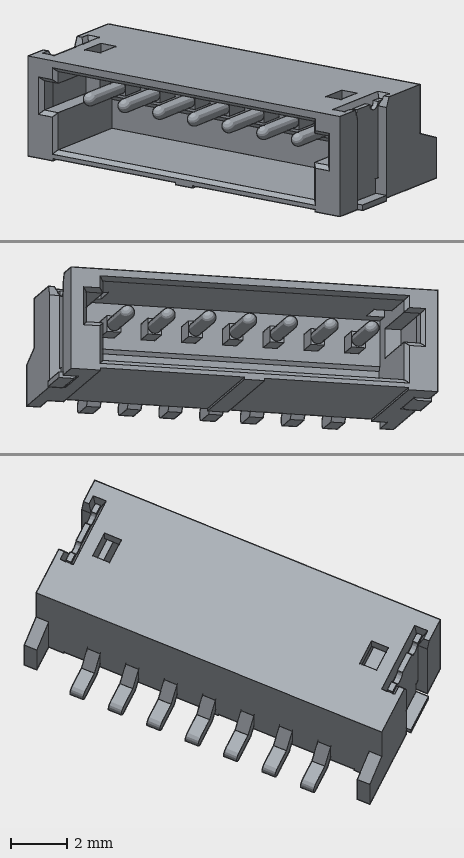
import cadquery as cq
import math


HALF_LENGTH = 6.75
HEIGHT = 3.7
ROOF_DEPTH = 4.99
EAR_DEPTH = 6.0
EAR_WIDTH = 0.5
EAR_SLOPE_LOW = 1.5
EAR_SLOPE_HIGH = 1.89

PAD_HEIGHT = 0.08
END_PAD_INNER_X = 5.66
CENTER_PAD_HALF_WIDTH = 0.37

CAVITY_HALF_WIDTH = 5.54
CAVITY_FLOOR = 0.4
CAVITY_CEILING = 3.29
CAVITY_DEPTH = 3.4
LEAD_IN = 0.15
UNDERCUT_TOP = 1.62
UNDERCUT_BOTTOM = 1.47
UNDERCUT_DEPTH = 0.1
KEYWAY_HALF_WIDTH = 6.14
KEYWAY_BOTTOM = 1.77
KEYWAY_TOP = 2.85
KEYWAY_DEPTH = 2.74

WINDOW_WIDTH = 0.66
WINDOW_FRONT_Y = 1.8
WINDOW_REAR_Y = 2.8

SHEET = 0.2
TAB_INNER_X = 6.17
TAB_OUTER_X = TAB_INNER_X + SHEET
TAB_CENTER_Y = 2.0
TAB_WIDTH = 2.51
TAB_TOP = 3.51
SCALLOP_DIAMETER = 0.5
SCALLOP_OFFSET = 0.65
SHANK_WIDTH = 1.5
SHANK_TOP = 0.69
FOOT_END_X = 6.85
FOOT_DROP = 0.05
SLOT_OPENING_WIDTH = 1.8
FLARE = 0.15
FLARE_DEPTH = 0.35

PIN_COUNT = 7
PIN_SPAN = 9.0
PITCH = PIN_SPAN / (PIN_COUNT - 1)
PIN_Z = 2.33
PIN_DIAMETER = 0.5
PIN_TIP_Y = 0.4
WIRE_WIDTH = 0.51
TAIL_THICKNESS = 0.5
SHANK_HEIGHT = 0.58
SHANK_START_Y = 2.47
WIRE_SLOPE = math.radians(51.5)
TAIL_BEND_Y = 5.48
TAIL_END_Y = 6.47


def block(x0, x1, y0, y1, z0, z1):
    """Axis-aligned box between two opposite corners."""
    return cq.Workplane("XY").box(x1 - x0, y1 - y0, z1 - z0, centered=False).translate((x0, y0, z0))


def make_pin(x):
    """One contact: domed round pin, then square wire sloping down to a round-ended tail."""
    tail_bottom = -FOOT_DROP
    tail_radius = TAIL_THICKNESS / 2
    tail_center_z = tail_bottom + tail_radius
    tail_top = tail_bottom + TAIL_THICKNESS
    tail_flat_end_y = TAIL_END_Y - tail_radius
    shank_bottom = PIN_Z - SHANK_HEIGHT / 2
    shank_top = PIN_Z + SHANK_HEIGHT / 2
    lower_bend_y = TAIL_BEND_Y - TAIL_THICKNESS * math.tan(WIRE_SLOPE / 2)
    wire = (
        cq.Workplane("YZ")
        .moveTo(SHANK_START_Y, shank_bottom)
        .lineTo(lower_bend_y - (shank_bottom - tail_bottom) / math.tan(WIRE_SLOPE), shank_bottom)
        .lineTo(lower_bend_y, tail_bottom)
        .lineTo(tail_flat_end_y, tail_bottom)
        .threePointArc((TAIL_END_Y, tail_center_z), (tail_flat_end_y, tail_top))
        .lineTo(TAIL_BEND_Y, tail_top)
        .lineTo(TAIL_BEND_Y - (shank_top - tail_top) / math.tan(WIRE_SLOPE), shank_top)
        .lineTo(SHANK_START_Y, shank_top)
        .close()
        .extrude(WIRE_WIDTH / 2, both=True)
    )
    radius = PIN_DIAMETER / 2
    dome_y = PIN_TIP_Y + radius
    round_end = (
        cq.Workplane("XY")
        .moveTo(0, PIN_TIP_Y)
        .threePointArc((radius * math.sin(math.pi / 4), dome_y - radius * math.cos(math.pi / 4)), (radius, dome_y))
        .lineTo(radius, SHANK_START_Y)
        .lineTo(0, SHANK_START_Y)
        .close()
        .revolve(360, (0, 0, 0), (0, 1, 0))
        .translate((0, 0, PIN_Z))
    )
    return wire.union(round_end).translate((x, 0, 0))


def make_left_tab():
    """Left solder tab: upright sheet with a scalloped top, narrowing to a foot bent outward."""
    bottom = -FOOT_DROP
    diagonal = math.sqrt(0.5)
    bend_z = bottom + SHEET
    section = (
        cq.Workplane("XZ")
        .moveTo(-TAB_INNER_X, TAB_TOP)
        .lineTo(-TAB_INNER_X, bend_z)
        .threePointArc(
            (-TAB_OUTER_X + SHEET * diagonal, bend_z - SHEET * diagonal),
            (-TAB_OUTER_X, bottom),
        )
        .lineTo(-FOOT_END_X, bottom)
        .lineTo(-FOOT_END_X, bottom + SHEET)
        .lineTo(-TAB_OUTER_X, bottom + SHEET)
        .lineTo(-TAB_OUTER_X, TAB_TOP)
        .close()
        .extrude(TAB_WIDTH / 2, both=True)
        .translate((0, TAB_CENTER_Y, 0))
    )
    shoulder = (TAB_WIDTH - SHANK_WIDTH) / 2
    for side in (-1, 1):
        shoulder_y = TAB_CENTER_Y + side * (SHANK_WIDTH + shoulder) / 2
        notch = block(
            -FOOT_END_X, -TAB_INNER_X, shoulder_y - shoulder / 2, shoulder_y + shoulder / 2, bottom, SHANK_TOP
        )
        scallop = (
            cq.Workplane("YZ")
            .center(TAB_CENTER_Y + side * SCALLOP_OFFSET, TAB_TOP)
            .circle(SCALLOP_DIAMETER / 2)
            .extrude(-FOOT_END_X)
        )
        section = section.cut(notch).cut(scallop)
    return section


def flared_slot(outer_x, inner_x, width_y, bottom):
    """Upright slot in the left end wall that widens on every side near the top."""
    half_width = width_y / 2
    slot = block(outer_x, inner_x, TAB_CENTER_Y - half_width, TAB_CENTER_Y + half_width, bottom, HEIGHT)
    width_x = inner_x - outer_x
    flare = (
        cq.Workplane("XY", origin=((outer_x + inner_x) / 2, TAB_CENTER_Y, HEIGHT - FLARE_DEPTH))
        .rect(width_x, width_y)
        .workplane(offset=FLARE_DEPTH)
        .rect(width_x + 2 * FLARE, width_y + 2 * FLARE)
        .loft()
    )
    return slot.union(flare)


def cut_left_tab_slot(body):
    """Slot for the left tab: the sheet's shoulders rest on a shelf, and a narrower opening faces outward."""
    half_opening = SLOT_OPENING_WIDTH / 2
    sheet_slot = flared_slot(-TAB_OUTER_X, -TAB_INNER_X, TAB_WIDTH, SHANK_TOP)
    side_opening = flared_slot(-HALF_LENGTH - SHEET, -TAB_OUTER_X, SLOT_OPENING_WIDTH, 0)
    shank_slot = block(
        -TAB_OUTER_X, -TAB_INNER_X, TAB_CENTER_Y - half_opening, TAB_CENTER_Y + half_opening, 0, SHANK_TOP
    )
    return body.cut(sheet_slot).cut(side_opening).cut(shank_slot)


def front_pocket(half_width, bottom, top, depth):
    """Rectangular pocket from the mating face with a 45 degree lead-in around its mouth."""
    pocket = block(-half_width, half_width, 0, depth, bottom, top)
    mouth = (
        cq.Workplane("XZ", origin=(0, 0, (bottom + top) / 2))
        .rect(2 * (half_width + LEAD_IN), top - bottom + 2 * LEAD_IN)
        .workplane(offset=-LEAD_IN)
        .rect(2 * half_width, top - bottom)
        .loft()
    )
    return pocket.union(mouth)


def make_undercut():
    """Lower part of the cavity's back wall, set back behind a sloping edge."""
    return (
        cq.Workplane("YZ")
        .moveTo(CAVITY_DEPTH, UNDERCUT_TOP)
        .lineTo(CAVITY_DEPTH + UNDERCUT_DEPTH, UNDERCUT_BOTTOM)
        .lineTo(CAVITY_DEPTH + UNDERCUT_DEPTH, CAVITY_FLOOR)
        .lineTo(CAVITY_DEPTH, CAVITY_FLOOR)
        .close()
        .extrude(CAVITY_HALF_WIDTH, both=True)
    )


def make_housing(pins):
    """Housing with rear ears, mating cavity, roof windows, tab slots and pin passages."""
    body = (
        cq.Workplane("YZ")
        .moveTo(0, 0)
        .lineTo(EAR_DEPTH, 0)
        .lineTo(EAR_DEPTH, EAR_SLOPE_LOW)
        .lineTo(ROOF_DEPTH, EAR_SLOPE_HIGH)
        .lineTo(ROOF_DEPTH, HEIGHT)
        .lineTo(0, HEIGHT)
        .close()
        .extrude(HALF_LENGTH, both=True)
    )
    ear_inner_x = HALF_LENGTH - EAR_WIDTH
    body = body.cut(block(-ear_inner_x, ear_inner_x, ROOF_DEPTH, EAR_DEPTH, 0, HEIGHT))
    body = body.cut(front_pocket(CAVITY_HALF_WIDTH, CAVITY_FLOOR, CAVITY_CEILING, CAVITY_DEPTH))
    body = body.cut(front_pocket(KEYWAY_HALF_WIDTH, KEYWAY_BOTTOM, KEYWAY_TOP, KEYWAY_DEPTH))
    body = body.cut(make_undercut())
    body = cut_left_tab_slot(body)
    body = cut_left_tab_slot(body.mirror("YZ")).mirror("YZ")
    for x0, x1 in (
        (-END_PAD_INNER_X, -CENTER_PAD_HALF_WIDTH),
        (CENTER_PAD_HALF_WIDTH, END_PAD_INNER_X),
    ):
        body = body.cut(block(x0, x1, 0, ROOF_DEPTH, 0, PAD_HEIGHT))
    window_inner_x = CAVITY_HALF_WIDTH - WINDOW_WIDTH
    for x0, x1 in ((-CAVITY_HALF_WIDTH, -window_inner_x), (window_inner_x, CAVITY_HALF_WIDTH)):
        body = body.cut(block(x0, x1, WINDOW_FRONT_Y, WINDOW_REAR_Y, PIN_Z, HEIGHT))
    for pin in pins:
        body = body.cut(pin)
    return body


pins = [make_pin(i * PITCH - PIN_SPAN / 2) for i in range(PIN_COUNT)]
housing = make_housing(pins)
left_tab = make_left_tab()
right_tab = left_tab.mirror("YZ")

result = cq.Compound.makeCompound(
    [housing.val(), left_tab.val(), right_tab.val(), *[pin.val() for pin in pins]]
)